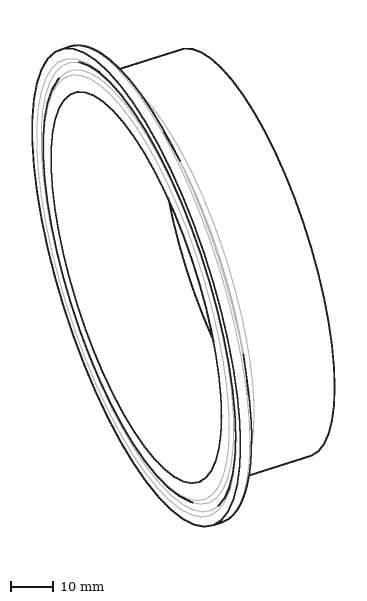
import cadquery as cq
import math

length = 28.7
flange_radius = 119 / 2
tube_radius = 101.6 / 2
bore_radius = 97.3 / 2

back_angle = 20
rim_height = 3.0
rim_fillet = 0.8
neck_fillet = 1.9

groove_radius = 55.0
groove_half_width = 1.0
lip_width = 1.1
wall_angle = 65


def make_body():
    """Revolve the tube and flange, then round the corners of the back cone."""
    cone_rise = (flange_radius - tube_radius) * math.tan(math.radians(back_angle))
    neck_height = rim_height + cone_rise
    body = (
        cq.Workplane("XY")
        .moveTo(bore_radius, 0)
        .lineTo(flange_radius, 0)
        .lineTo(flange_radius, rim_height)
        .lineTo(tube_radius, neck_height)
        .lineTo(tube_radius, length)
        .lineTo(bore_radius, length)
        .close()
        .revolve(360, (0, 0, 0), (0, 1, 0))
    )
    edge_margin = 0.1
    for height, radius in ((rim_height, rim_fillet), (neck_height, neck_fillet)):
        corner = cq.selectors.BoxSelector(
            (-flange_radius, height - edge_margin, -flange_radius),
            (flange_radius, height + edge_margin, flange_radius),
        )
        body = body.edges(corner).fillet(radius)
    return body


def make_groove():
    """Revolve a round-bottomed groove whose walls flow into convex lips."""
    wall = math.radians(wall_angle)
    rise_ratio = math.tan(wall / 2)
    half_rise_ratio = math.tan(wall / 4)
    lip_depth = lip_width * rise_ratio
    bottom_depth = lip_depth + groove_half_width * rise_ratio
    lip_arc_radius = lip_width / math.sin(wall)
    lip_mid_width = lip_arc_radius * math.sin(wall / 2)
    lip_mid_depth = lip_mid_width * half_rise_ratio
    half_opening = groove_half_width + lip_width

    inner_edge = groove_radius - half_opening
    outer_edge = groove_radius + half_opening
    return (
        cq.Workplane("XY")
        .moveTo(inner_edge, 0)
        .threePointArc(
            (inner_edge + lip_mid_width, lip_mid_depth),
            (inner_edge + lip_width, lip_depth),
        )
        .threePointArc(
            (groove_radius, bottom_depth),
            (outer_edge - lip_width, lip_depth),
        )
        .threePointArc(
            (outer_edge - lip_mid_width, lip_mid_depth),
            (outer_edge, 0),
        )
        .close()
        .revolve(360, (0, 0, 0), (0, 1, 0))
    )


result = make_body().cut(make_groove())